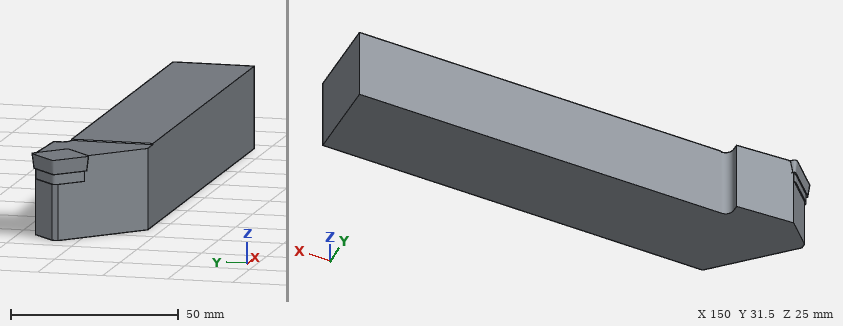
import cadquery as cq
import math

LENGTH = 150.0
SHANK_SIZE = 25.0

HEAD_TOP_DROP = 0.3
RAMP_LENGTH = 0.5
HEAD_TOP_Z = SHANK_SIZE - HEAD_TOP_DROP
HEAD_END_X = 30.2
NOSE_X = 2.0
NOSE_FLAT_START_Y = 21.8
NOSE_FLAT_END_Y = 23.5
FRONT_CORNER_X = 24.3
BACK_LEFT_Y = 30.6
BACK_RIGHT_Y = 29.7
NECK_RADIUS = 2.7

WIDTH = 31.5
INSERT_SIDE = 12.9
INSERT_CORNER_RADIUS = 1.0
INSERT_THICKNESS = 4.5
INSERT_RELIEF_ANGLE = 7.0
INSERT_TURN = 45.0
CORNER_REACH = INSERT_SIDE / math.sqrt(2) - INSERT_CORNER_RADIUS * (math.sqrt(2) - 1)
INSERT_CENTER = (CORNER_REACH, WIDTH - CORNER_REACH)
INSERT_BOTTOM_Z = HEAD_TOP_Z - INSERT_THICKNESS

PAD_SIDE = 11.2
PAD_CORNER_RADIUS = 1.2
PAD_HEIGHT = 3.2


def rounded_square(side, radius):
    """Sketch of a square with rounded corners, turned onto its corner."""
    return cq.Sketch().rect(side, side, angle=INSERT_TURN).vertices().fillet(radius)


def insert_plane(z):
    return cq.Workplane("XY", origin=(*INSERT_CENTER, z))


def make_insert():
    """Insert whose sides lean inwards from its top cutting edges."""
    return (
        insert_plane(HEAD_TOP_Z)
        .placeSketch(rounded_square(INSERT_SIDE, INSERT_CORNER_RADIUS))
        .extrude(-INSERT_THICKNESS, taper=INSERT_RELIEF_ANGLE)
    )


def make_blank():
    """Shank and head as one upright prism."""
    nose_to_back_x = NOSE_X + BACK_LEFT_Y - NOSE_FLAT_END_Y
    neck_x = HEAD_END_X - NECK_RADIUS
    neck_mid = (
        HEAD_END_X - NECK_RADIUS * math.sqrt(0.5),
        SHANK_SIZE + NECK_RADIUS * (1 - math.sqrt(0.5)),
    )
    return (
        cq.Workplane("XY")
        .moveTo(FRONT_CORNER_X, 0)
        .lineTo(LENGTH, 0)
        .lineTo(LENGTH, SHANK_SIZE)
        .lineTo(HEAD_END_X, SHANK_SIZE)
        .threePointArc(neck_mid, (neck_x, SHANK_SIZE + NECK_RADIUS))
        .lineTo(neck_x, BACK_RIGHT_Y)
        .lineTo(nose_to_back_x, BACK_LEFT_Y)
        .lineTo(NOSE_X, NOSE_FLAT_END_Y)
        .lineTo(NOSE_X, NOSE_FLAT_START_Y)
        .close()
        .extrude(SHANK_SIZE)
    )


def make_head_relief():
    """Material above the head top, ending in the ramp up to the shank."""
    return (
        cq.Workplane("XZ")
        .moveTo(0, HEAD_TOP_Z)
        .lineTo(HEAD_END_X, HEAD_TOP_Z)
        .lineTo(HEAD_END_X + RAMP_LENGTH, SHANK_SIZE)
        .lineTo(0, SHANK_SIZE)
        .close()
        .extrude(-WIDTH)
    )


def make_seat_pad():
    return (
        insert_plane(INSERT_BOTTOM_Z)
        .placeSketch(rounded_square(PAD_SIDE, PAD_CORNER_RADIUS))
        .extrude(-PAD_HEIGHT)
    )


def make_holder(insert):
    """Holder with its seat pad and a pocket that fits the insert."""
    return make_blank().cut(make_head_relief()).union(make_seat_pad()).cut(insert)


insert = make_insert()
holder = make_holder(insert)

result = cq.Compound.makeCompound([holder.val(), insert.val()])